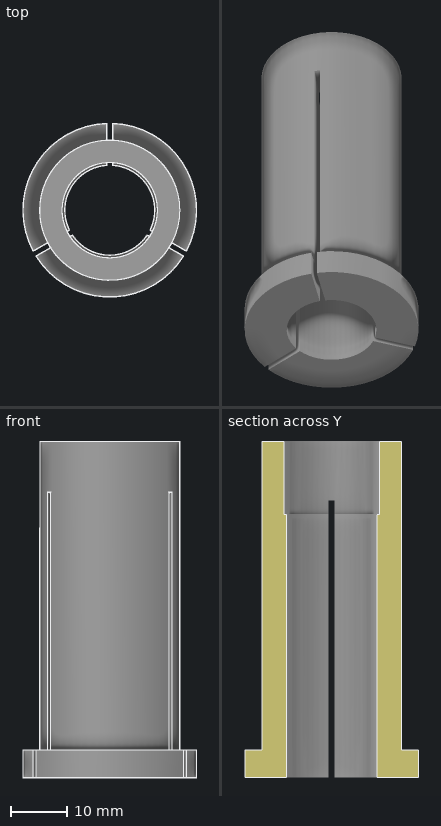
import cadquery as cq
import math

total_height = 60.0
sleeve_diameter = 25.0
flange_diameter = 31.0
flange_height = 5.0

upper_bore_diameter = 17.0
grip_bore_diameter = 16.0
grip_length = 47.0

slit_count = 3
slit_width = 1.0
slit_height = 51.0
slit_roof_angle = 22.0
first_slit_angle = 90.0


def cylinder(diameter, height, base_z=0.0):
    """Solid cylinder on the Z axis standing on base_z."""
    return cq.Workplane("XY").workplane(offset=base_z).circle(diameter / 2).extrude(height)


def slit(angle):
    """Radial cutter from the axis past the flange rim, its roof sloping down toward the axis."""
    sleeve_radius = sleeve_diameter / 2
    roof_drop = sleeve_radius * math.tan(math.radians(slit_roof_angle))
    return (
        cq.Workplane("XZ")
        .polyline(
            [
                (0, 0),
                (flange_diameter, 0),
                (flange_diameter, slit_height),
                (sleeve_radius, slit_height),
                (0, slit_height - roof_drop),
            ]
        )
        .close()
        .extrude(slit_width / 2, both=True)
        .rotate((0, 0, 0), (0, 0, 1), angle)
    )


body = cylinder(sleeve_diameter, total_height).union(cylinder(flange_diameter, flange_height))

body = body.cut(cylinder(grip_bore_diameter, total_height))
body = body.cut(cylinder(upper_bore_diameter, total_height - grip_length, grip_length))

for index in range(slit_count):
    body = body.cut(slit(first_slit_angle + index * 360.0 / slit_count))

result = body